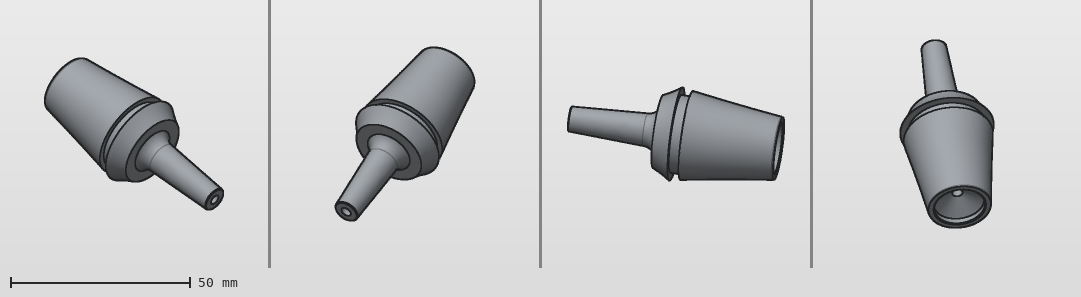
import cadquery as cq
import math

length = 59.0
head_end = 25.95
collar_start = 28.95
collar_end = 34.05
fillet_mid = 35.65
fillet_end = 37.7

nose_radius = 8.9
head_radius = 12.5
neck_radius = 11.0
collar_radius = 13.13
collar_back_radius = 10.25
fillet_root_radius = 6.65
fillet_mid_radius = 5.15
shank_radius = 4.6
tip_radius = 3.55

nose_chamfer_length = 0.5
nose_chamfer_drop = 0.2
tip_chamfer = 0.25
head_hollow = 0.1
collar_hollow = 0.2

bore_radius = 1.5
recess_radius = 7.1
recess_chamfer = 0.3
recess_wall_end = 1.95
recess_point_angle = 118.0


def hollow_mid(start, end, hollow):
    """Middle point of a flank, lowered below its straight chord."""
    return ((start[0] + end[0]) / 2, (start[1] + end[1]) / 2 - hollow)


def make_body():
    """Solid of revolution: head, neck, collar, fillet and tapered shank."""
    head_front = (nose_chamfer_length, nose_radius)
    head_back = (head_end, head_radius)
    collar_front = (collar_start, collar_radius)
    collar_back = (collar_end, collar_back_radius)
    profile = (
        cq.Workplane("XY")
        .moveTo(0, 0)
        .lineTo(0, nose_radius - nose_chamfer_drop)
        .lineTo(*head_front)
        .threePointArc(hollow_mid(head_front, head_back, head_hollow), head_back)
        .lineTo(head_end, neck_radius)
        .lineTo(collar_start, neck_radius)
        .lineTo(*collar_front)
        .threePointArc(hollow_mid(collar_front, collar_back, collar_hollow), collar_back)
        .lineTo(collar_end, fillet_root_radius)
        .threePointArc((fillet_mid, fillet_mid_radius), (fillet_end, shank_radius))
        .lineTo(length - tip_chamfer, tip_radius)
        .lineTo(length, tip_radius - tip_chamfer)
        .lineTo(length, 0)
        .close()
    )
    return profile.revolve(360, (0, 0, 0), (1, 0, 0))


def make_cavity():
    """Chamfered recess, its conical floor and the bore running to the tip."""
    half_angle = math.radians(recess_point_angle / 2)
    cone_end = recess_wall_end + (recess_radius - bore_radius) / math.tan(half_angle)
    profile = (
        cq.Workplane("XY")
        .moveTo(0, 0)
        .lineTo(0, recess_radius + recess_chamfer)
        .lineTo(recess_chamfer, recess_radius)
        .lineTo(recess_wall_end, recess_radius)
        .lineTo(cone_end, bore_radius)
        .lineTo(length, bore_radius)
        .lineTo(length, 0)
        .close()
    )
    return profile.revolve(360, (0, 0, 0), (1, 0, 0))


result = make_body().cut(make_cavity())